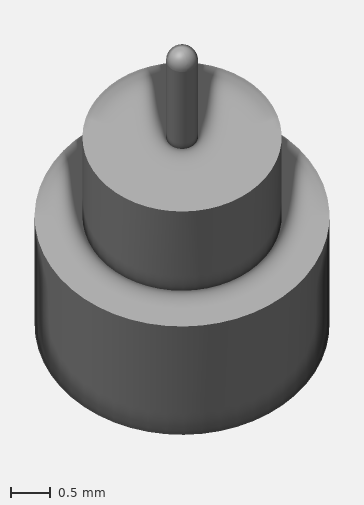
import cadquery as cq

total_height = 5.2
base_diameter = 3.7
base_height = 2.05
collar_diameter = 2.5
collar_height = 1.5
insulator_diameter = 1.95
pin_diameter = 0.4

collar_top = base_height + collar_height
pin_radius = pin_diameter / 2
pin_length = total_height - collar_top


def cylinder(diameter, height, bottom):
    """Upright cylinder on the Z axis, starting at the given height."""
    return cq.Workplane("XY").workplane(offset=bottom).circle(diameter / 2).extrude(height)


base = cylinder(base_diameter, base_height, 0)
collar = cylinder(collar_diameter, collar_height, base_height)
insulator = cylinder(insulator_diameter, collar_height, base_height)
shell = base.union(collar).cut(insulator)

pin_shank = cylinder(pin_diameter, pin_length - pin_radius, collar_top)
pin_tip = cq.Workplane("XY").sphere(pin_radius).translate((0, 0, total_height - pin_radius))
pin = pin_shank.union(pin_tip)

result = shell.union(insulator, clean=False).union(pin, clean=False)